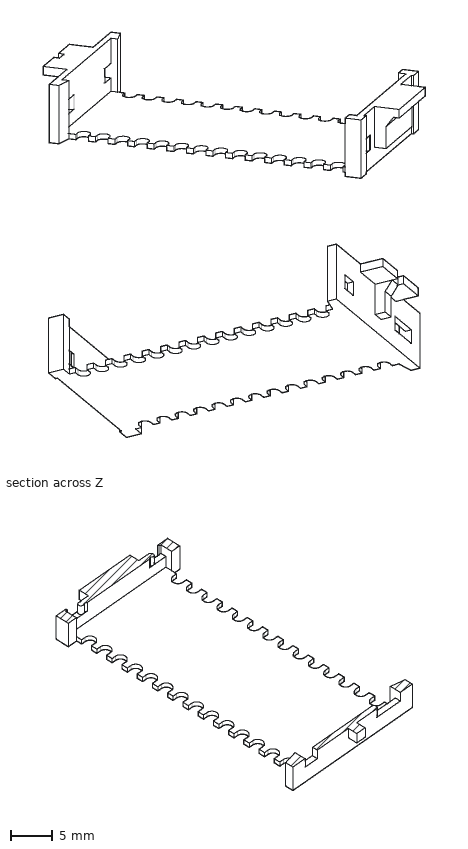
import cadquery as cq

length = 46.2
height = 7.5

floor_start = 3.95
floor_end = 42.2
floor_half_width = 8.4
floor_thickness = 0.7
notch_count = 14
notch_pitch = 2.55
notch_width = 1.6
notch_depth = 1.45

wall_thickness = 0.85
flange_half_width = 21.2 / 2
flange_tip_end = 4.35
flange_root_end = 4.8
post_start = 41.2
post_end = 43.3
post_inner_outside = 8.1
post_half_width = 9.9

tab_width = 9.0
tab_thickness = 1.1
support_inset = 1.7
support_slope_inset = 0.75
support_bottom = 2.25
support_slope_bottom = 5.1
grip_slot_width = 1.52
grip_slot_depth = support_slope_inset

window_bottom = 2.4
window_top = 4.25
short_window_width = 2.13
long_window_width = 4.2
latch_start = 5.5
latch_tip = 6.6
latch_groove = 5.9
latch_groove_depth = 0.2

wall_outer_start = floor_start - wall_thickness
wall_outer_end = floor_end + wall_thickness
round_radius = wall_thickness / 2


def block(x_range, y_range, z_range):
    """Box spanning the given ranges."""
    size = [high - low for low, high in (x_range, y_range, z_range)]
    corner = (x_range[0], y_range[0], z_range[0])
    return cq.Workplane("XY").box(*size, centered=False).translate(corner)


def both_sides(body):
    """Body together with its mirror image across the XZ plane."""
    return body.union(body.mirror("XZ"))


def make_floor():
    half = floor_half_width
    plate = block((floor_start, floor_end), (-half, half), (0, floor_thickness))
    first_x = (floor_start + floor_end - (notch_count - 1) * notch_pitch) / 2
    for index in range(notch_count):
        x = first_x + index * notch_pitch
        notch = (
            cq.Workplane("XY")
            .center(x, half)
            .slot2D(2 * notch_depth, notch_width, 90)
            .extrude(floor_thickness)
        )
        plate = plate.cut(both_sides(notch))
    return plate


def make_flange_wall():
    """Wall at the -X end, with a tapered flange on each side."""
    wall = block((wall_outer_start, floor_start), (-floor_half_width, floor_half_width), (0, height))
    flange = (
        cq.Workplane("XY")
        .polyline([
            (wall_outer_start, floor_half_width),
            (wall_outer_start, flange_half_width),
            (flange_tip_end, flange_half_width),
            (flange_root_end, floor_half_width),
        ])
        .close()
        .extrude(height)
    )
    return wall.union(both_sides(flange))


def make_post_wall():
    """Wall at the +X end, with a square post on each side."""
    half = floor_half_width
    wall = block((floor_end, wall_outer_end), (-half, half), (0, height))
    post = block((post_start, post_end), (half, post_half_width), (0, height))
    lip = block((wall_outer_end, post_end), (post_inner_outside, half), (0, height))
    return wall.union(both_sides(post.union(lip)))


def make_tab(wall_face, support_width):
    """Tab reaching from x = 0 to the wall face, on a sloped support."""
    tab = block((0, wall_face), (-tab_width / 2, tab_width / 2), (height - tab_thickness, height))
    support = (
        cq.Workplane("XZ")
        .polyline([
            (wall_face, support_bottom),
            (support_inset, support_bottom),
            (support_inset, support_slope_bottom),
            (support_slope_inset, height - tab_thickness),
            (wall_face, height - tab_thickness),
        ])
        .close()
        .extrude(support_width / 2, both=True)
    )
    return tab.union(support)


def make_flange_tab():
    grip_slot = block(
        (0, grip_slot_depth),
        (-grip_slot_width / 2, grip_slot_width / 2),
        (height - tab_thickness, height),
    )
    return make_tab(wall_outer_start, grip_slot_width).cut(grip_slot)


def make_post_tab():
    tab = make_tab(length - wall_outer_end, tab_width)
    return tab.mirror("YZ").translate((length, 0, 0))


def window_prism(outline):
    """Window cutter from an outline in plan."""
    return outline.extrude(window_top - window_bottom).translate((0, 0, window_bottom))


def make_flange_windows():
    """Short window on +Y; long window on -Y whose inner end is a rounded wall edge."""
    x_range = (wall_outer_start, floor_start)
    z_range = (window_bottom, window_top)
    short = block(x_range, (floor_half_width - short_window_width, floor_half_width), z_range)
    inner_y = long_window_width - floor_half_width
    long = window_prism(
        cq.Workplane("XY")
        .moveTo(wall_outer_start, -floor_half_width)
        .lineTo(wall_outer_start, inner_y)
        .threePointArc((wall_outer_start + round_radius, inner_y - round_radius), (floor_start, inner_y))
        .lineTo(floor_start, -floor_half_width)
        .close()
    )
    return short.union(long)


def make_latch_windows():
    """Windows ending in a round bead with a shallow groove beside it."""
    opening = block((floor_end, wall_outer_end), (latch_start, floor_half_width), (window_bottom, window_top))
    filler = window_prism(
        cq.Workplane("XY")
        .polyline([
            (floor_end, latch_start),
            (floor_end + latch_groove_depth, latch_groove),
            (wall_outer_end, latch_groove),
            (wall_outer_end, latch_start),
        ])
        .close()
    )
    bead = window_prism(
        cq.Workplane("XY")
        .center(floor_end + round_radius, latch_tip - round_radius)
        .circle(round_radius)
    )
    return both_sides(opening.cut(filler).cut(bead))


flange_end = make_flange_wall().union(make_flange_tab()).cut(make_flange_windows())
post_end_wall = make_post_wall().union(make_post_tab()).cut(make_latch_windows())
result = make_floor().union(flange_end).union(post_end_wall)